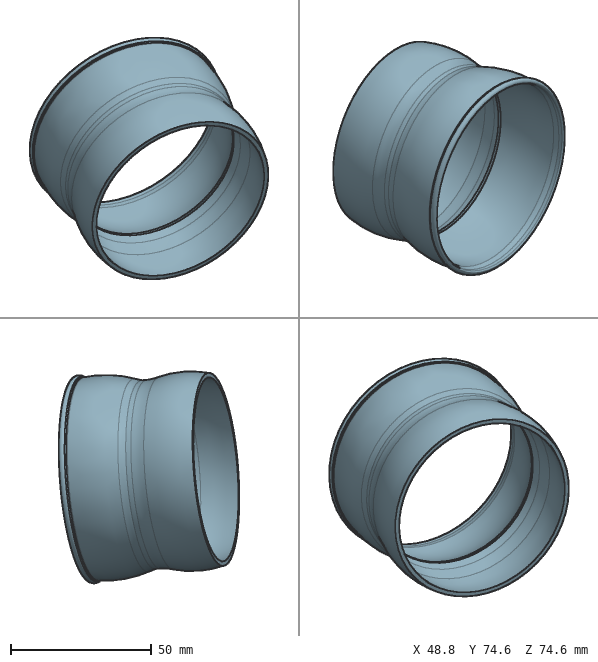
import cadquery as cq
import math


length = 48.8
bead_outer_radius = 74.57 / 2

bead_section_radius = 1.25
bead_end_x = 2.3
neck_x = 2.85
neck_radius = 36.4

front_start_x = 3.2
front_crest_x = 8.2
front_crest_radius = 36.75
front_section_radius = 40.0
front_end_x = 21.3
waist_start_x = 24.0
waist_end_x = 25.9
waist_radius = 33.8

rear_start_x = 30.8
rear_center_x = 39.9
rear_sphere_radius = 35.7
rear_wall = 1.6

mouth_rounding = 0.6
mouth_radius = 35.35
mouth_end_x = 2.0

bore_center_x = 9.0
bore_sphere_radius = 35.3
bore_start_x = 4.1
throat_radius = 31.3
throat_sphere_end_x = 25.3
throat_start_x = 25.8
throat_end_x = 26.4

flare_start_x = 29.3
flare_start_radius = 32.4
rear_bore_start_x = 34.7


def circle_height(x, center_x, radius):
    """Height above its centre of a circle of the given radius, at position x."""
    return math.sqrt(radius**2 - (x - center_x) ** 2)


def front_outer_radius(x):
    center_height = front_crest_radius - front_section_radius
    return center_height + circle_height(x, front_crest_x, front_section_radius)


def rear_outer_radius(x):
    return circle_height(x, rear_center_x, rear_sphere_radius)


def bore_radius(x):
    return circle_height(x, bore_center_x, bore_sphere_radius)


def rear_bore_radius(x):
    return circle_height(x, rear_center_x, rear_sphere_radius - rear_wall)


def on_curve(curve, x):
    return (x, curve(x))


def arc_along(profile, curve, start_x, end_x):
    """Continue the profile along a circular curve from start_x to end_x."""
    middle_x = (start_x + end_x) / 2
    return profile.threePointArc(on_curve(curve, middle_x), on_curve(curve, end_x))


def add_outside(profile):
    """Outer surface, from the bead at the front to the rear edge."""
    bead_center_radius = bead_outer_radius - bead_section_radius
    bead_end_radius = bead_center_radius + circle_height(
        bead_end_x, bead_section_radius, bead_section_radius
    )
    profile = profile.moveTo(0, bead_center_radius)
    profile = profile.threePointArc(
        (bead_section_radius, bead_outer_radius), (bead_end_x, bead_end_radius)
    )
    profile = profile.lineTo(neck_x, neck_radius)
    profile = profile.lineTo(*on_curve(front_outer_radius, front_start_x))
    profile = arc_along(profile, front_outer_radius, front_start_x, front_end_x)
    profile = profile.tangentArcPoint((waist_start_x, waist_radius), relative=False)
    profile = profile.lineTo(waist_end_x, waist_radius)
    profile = profile.tangentArcPoint(on_curve(rear_outer_radius, rear_start_x), relative=False)
    return arc_along(profile, rear_outer_radius, rear_start_x, length)


def add_inside(profile):
    """Bore, from the rear edge back to the mouth."""
    profile = profile.lineTo(*on_curve(rear_bore_radius, length))
    profile = arc_along(profile, rear_bore_radius, length, rear_bore_start_x)
    profile = profile.tangentArcPoint((flare_start_x, flare_start_radius), relative=False)
    profile = profile.lineTo(throat_end_x, throat_radius)
    profile = profile.lineTo(throat_start_x, throat_radius)
    profile = profile.lineTo(*on_curve(bore_radius, throat_sphere_end_x))
    profile = arc_along(profile, bore_radius, throat_sphere_end_x, bore_start_x)
    profile = profile.lineTo(mouth_end_x, mouth_radius)
    profile = profile.lineTo(mouth_rounding, mouth_radius)
    return profile.tangentArcPoint((0, mouth_radius + mouth_rounding), relative=False)


section = add_inside(add_outside(cq.Workplane("XZ"))).close()
result = section.revolve(360, (0, 0, 0), (1, 0, 0))